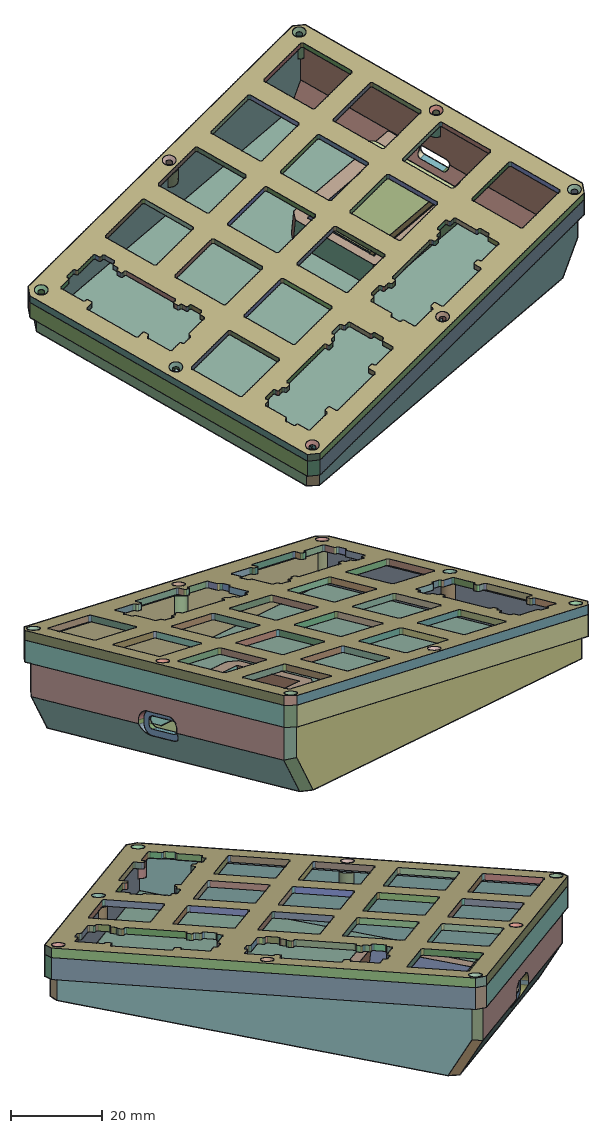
import cadquery as cq
import math

KEY_PITCH = 19.05
KEY_COLUMNS = 4
KEY_ROWS = 5
KEY_HOLE = 14.0
KEY_CORNER_RADIUS = 0.5
STAB_CORNER_RADIUS = 0.38
KEY_CELLS = [
    (0, 1), (0, 2), (0, 3), (0, 4),
    (1, 1), (1, 2), (1, 3), (1, 4),
    (2, 0), (2, 1), (2, 2), (2, 3), (2, 4),
    (3, 4),
]
WIDE_KEY_CELL = (0.5, 0)
TALL_KEY_CELLS = [(3, 0.5), (3, 2.5)]

NECK_FRONT = -4.73
NECK_BACK = 5.85
STAB_INNER = 8.575
STAB_OUTER = 15.225
STAB_FRONT = -5.65
STAB_BACK = 6.65
CLIP_INNER = 10.3
CLIP_OUTER = 13.6
CLIP_BACK = 7.8
WIRE_OUTER = 16.1
WIRE_FRONT = -2.3
WIRE_BACK = 0.5

MARGIN = 2.0
LENGTH_X = KEY_COLUMNS * KEY_PITCH + 2 * MARGIN
LENGTH_Y = KEY_ROWS * KEY_PITCH + 2 * MARGIN
TOTAL_HEIGHT = 23.38
PLATE_THICKNESS = 2.2
KEY_WEB = 1.5
RIM_HEIGHT = 5.0
CORNER_CHAMFER = 2.0
BODY_INSET = 1.0
BODY_X = LENGTH_X - 2 * BODY_INSET
BODY_Y = LENGTH_Y - 2 * BODY_INSET

BOTTOM_TILT = math.radians(7.05)
LOWEST_Y = BODY_Y / 2 - 5.2
LOWEST_Z = PLATE_THICKNESS - TOTAL_HEIGHT
BACK_WALL_END_Z = -12.9

WALL = 2.3
FLOOR = 2.4
SLANT_WALL = 2.3
CAVITY_X = BODY_X - 2 * WALL
CAVITY_BACK = BODY_Y / 2 - WALL

SCREW_POINTS = [
    (-37.8, 47.1), (-0.2, 47.1), (37.8, 47.1),
    (-37.8, 0.2), (37.3, 0.2),
    (-37.2, -46.75), (-0.2, -46.75), (37.3, -46.75),
]
SCREW_HOLE = 1.5
SCREW_HEAD = 3.0
SCREW_HEAD_ANGLE = 90
POST_RADIUS = 2.0
POST_HEIGHT = 4.5
POST_HOLE = 1.35

CRADLE_X = 25.4
CRADLE_FRONT = 9.1
CRADLE_CHAMFER = 2.0
CRADLE_HEIGHT = 9.1
POCKET_X = 18.3
POCKET_FRONT = 11.4
POCKET_HEIGHT = 5.8
GROOVE_WIDTH = 3.35
GROOVE_HEIGHT = 3.8
GROOVE_BACK = 40.6

PORT_X = 8.2
PORT_HEIGHT = 3.0
PORT_RADIUS = 1.0
PORT_LIP = 0.5
PLUG_MARGIN = 1.5
PORT_Z = -12.55

BAR_POSITION = 37.1
BAR_WIDTH = 4.0
BAR_THICKNESS = 2.0
BAR_RADIUS = 1.5
BAR_SCREW_X = (CRADLE_X + POCKET_X) / 4
BAR_HOLE = 1.45
BAR_PILOT = 1.35
BAR_PILOT_DEPTH = 5.0


def cell_center(column, row):
    x = (column - (KEY_COLUMNS - 1) / 2) * KEY_PITCH
    y = (row - (KEY_ROWS - 1) / 2) * KEY_PITCH
    return x, y


def bottom_z(y, height=0.0):
    """Z at the given Y on the plane that lies `height` above the tilted bottom, measured square to it."""
    return LOWEST_Z + (LOWEST_Y - y) * math.tan(BOTTOM_TILT) + height / math.cos(BOTTOM_TILT)


def slab(size_x, size_y, z_low, z_high):
    """Block centred on the Z axis."""
    return cq.Workplane("XY").workplane(offset=z_low).rect(size_x, size_y).extrude(z_high - z_low)


def box(x_low, x_high, y_low, y_high, z_low, z_high):
    size = (x_high - x_low, y_high - y_low, z_high - z_low)
    return cq.Workplane("XY").box(*size, centered=False).translate((x_low, y_low, z_low))


def side_profile(points, size_x):
    """Closed outline of (y, z) points, extruded symmetrically along X."""
    return cq.Workplane("YZ").polyline(points).close().extrude(size_x / 2, both=True)


def on_bottom(shape):
    """Tilts a shape so that its Z = 0 plane becomes the outer bottom plane."""
    return shape.rotate((0, 0, 0), (1, 0, 0), -math.degrees(BOTTOM_TILT)).translate((0, 0, bottom_z(0)))


def double_key_cut():
    """Cutter for a two-unit key: the switch hole, two stabilizer housings and their necks."""
    z_high = PLATE_THICKNESS
    cut = slab(KEY_HOLE, KEY_HOLE, 0, z_high)
    cut = cut.union(box(-STAB_INNER, STAB_INNER, NECK_FRONT, NECK_BACK, 0, z_high))
    for side in (-1, 1):
        for inner, outer, front, back in (
            (STAB_INNER, STAB_OUTER, STAB_FRONT, STAB_BACK),
            (CLIP_INNER, CLIP_OUTER, STAB_FRONT, CLIP_BACK),
            (STAB_INNER, WIRE_OUTER, WIRE_FRONT, WIRE_BACK),
        ):
            x_low, x_high = sorted((side * inner, side * outer))
            cut = cut.union(box(x_low, x_high, front, back, 0, z_high))
    return cut.edges("|Z").fillet(STAB_CORNER_RADIUS)


def make_plate():
    plate = slab(LENGTH_X, LENGTH_Y, 0, PLATE_THICKNESS).edges("|Z").chamfer(CORNER_CHAMFER)
    plate = plate.cut(slab(CAVITY_X, 2 * CAVITY_BACK, 0, PLATE_THICKNESS - KEY_WEB))
    single_cut = slab(KEY_HOLE, KEY_HOLE, 0, PLATE_THICKNESS).edges("|Z").fillet(KEY_CORNER_RADIUS)
    for cell in KEY_CELLS:
        plate = plate.cut(single_cut.translate((*cell_center(*cell), 0)))
    wide_cut = double_key_cut()
    plate = plate.cut(wide_cut.translate((*cell_center(*WIDE_KEY_CELL), 0)))
    tall_cut = wide_cut.rotate((0, 0, 0), (0, 0, 1), 90)
    for cell in TALL_KEY_CELLS:
        plate = plate.cut(tall_cut.translate((*cell_center(*cell), 0)))
    plate = plate.faces(">Z").workplane(origin=(0, 0, PLATE_THICKNESS))
    return plate.pushPoints(SCREW_POINTS).cskHole(SCREW_HOLE, SCREW_HEAD, SCREW_HEAD_ANGLE)


def make_rim():
    return slab(LENGTH_X, LENGTH_Y, -RIM_HEIGHT, 0).edges("|Z").chamfer(CORNER_CHAMFER)


def make_shell_outside():
    front, back = -BODY_Y / 2, BODY_Y / 2
    outline = [
        (front, 0),
        (front, bottom_z(front)),
        (LOWEST_Y, LOWEST_Z),
        (back, BACK_WALL_END_Z),
        (back, 0),
    ]
    slant = cq.Vector(0, BODY_Y / 2 - LOWEST_Y, BACK_WALL_END_Z - LOWEST_Z)
    body = side_profile(outline, BODY_X)
    wall_edges = body.edges("|Z").add(body.edges(cq.selectors.ParallelDirSelector(slant)))
    body = body.newObject(wall_edges.vals()).chamfer(CORNER_CHAMFER)
    return body.union(make_rim())


def make_cavity():
    slant_run = BODY_Y / 2 - LOWEST_Y
    slant_rise = BACK_WALL_END_Z - LOWEST_Z
    slope = slant_rise / slant_run
    slant_start = LOWEST_Z + SLANT_WALL * math.hypot(slant_run, slant_rise) / slant_run
    corner_y = LOWEST_Y + (bottom_z(LOWEST_Y, FLOOR) - slant_start) / (slope + math.tan(BOTTOM_TILT))
    front = -CAVITY_BACK
    outline = [
        (front, 0),
        (front, bottom_z(front, FLOOR)),
        (corner_y, bottom_z(corner_y, FLOOR)),
        (CAVITY_BACK, slope * (CAVITY_BACK - LOWEST_Y) + slant_start),
        (CAVITY_BACK, 0),
    ]
    return side_profile(outline, CAVITY_X)


def make_cradle(cavity):
    half, pocket_half = CRADLE_X / 2, POCKET_X / 2
    channel_half = pocket_half - GROOVE_WIDTH
    back = LENGTH_Y / 2
    cradle = box(-half, half, CRADLE_FRONT, back, 0, CRADLE_HEIGHT)
    cradle = cradle.edges("|Z and <Y").chamfer(CRADLE_CHAMFER)
    cradle = cradle.cut(box(-pocket_half, pocket_half, POCKET_FRONT, back, POCKET_HEIGHT, CRADLE_HEIGHT))
    for x_low, x_high, y_high in (
        (-pocket_half, pocket_half, POCKET_FRONT + GROOVE_WIDTH),
        (-pocket_half, -channel_half, GROOVE_BACK),
        (channel_half, pocket_half, GROOVE_BACK),
    ):
        cradle = cradle.cut(box(x_low, x_high, POCKET_FRONT, y_high, GROOVE_HEIGHT, POCKET_HEIGHT))
    for x in (-BAR_SCREW_X, BAR_SCREW_X):
        pilot = cq.Workplane("XY").circle(BAR_PILOT / 2).extrude(-BAR_PILOT_DEPTH)
        cradle = cradle.cut(pilot.translate((x, BAR_POSITION, CRADLE_HEIGHT)))
    return on_bottom(cradle).intersect(cavity)


def port_cut(y_start, margin):
    """Cutter for the connector opening, widened by `margin` all round, from y_start to beyond the back."""
    half_x = PORT_X / 2 + margin
    half_z = PORT_HEIGHT / 2 + margin
    cut = box(-half_x, half_x, y_start, LENGTH_Y / 2, PORT_Z - half_z, PORT_Z + half_z)
    return cut.edges("|Y").fillet(PORT_RADIUS + margin)


def make_case():
    cavity = make_cavity()
    case = make_shell_outside().cut(cavity).union(make_cradle(cavity))
    posts = cq.Workplane("XY").pushPoints(SCREW_POINTS).circle(POST_RADIUS).extrude(-POST_HEIGHT)
    case = case.union(posts.intersect(make_rim()))
    post_holes = cq.Workplane("XY").pushPoints(SCREW_POINTS).circle(POST_HOLE / 2).extrude(-POST_HEIGHT)
    case = case.cut(port_cut(LOWEST_Y, 0)).cut(port_cut(CAVITY_BACK + PORT_LIP, PLUG_MARGIN))
    return case.cut(post_holes)


def make_bar():
    bar = slab(CRADLE_X, BAR_WIDTH, 0, BAR_THICKNESS).edges("|Z").fillet(BAR_RADIUS)
    bar = bar.faces(">Z").workplane().pushPoints([(-BAR_SCREW_X, 0), (BAR_SCREW_X, 0)]).hole(BAR_HOLE)
    return on_bottom(bar.translate((0, BAR_POSITION, CRADLE_HEIGHT)))


plate = make_plate()
case = make_case()
clamp_bar = make_bar()
result = cq.Compound.makeCompound([case.val(), plate.val(), clamp_bar.val()])